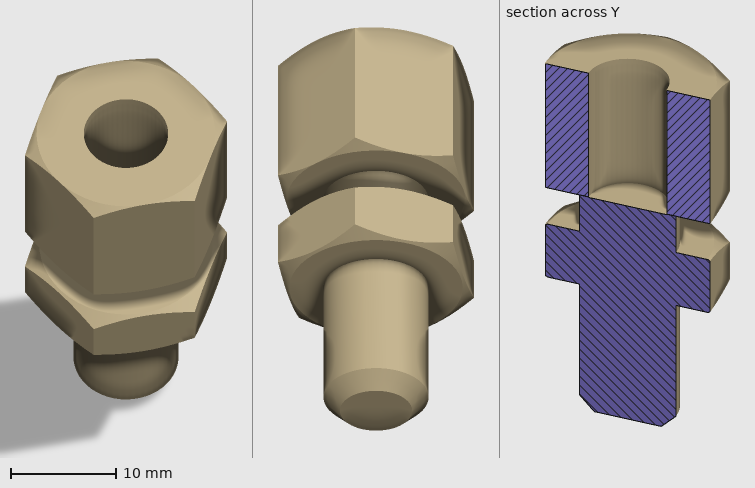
import cadquery as cq
import math

total_height = 38.0
nut_height = 14.0
collar_height = 6.0
shank_length = 14.0
nut_bottom = total_height - nut_height

across_flats = 17.0
across_corners = across_flats / math.cos(math.radians(30))
corner_bevel_angle = 30.0
nut_face_diameter = across_flats
collar_face_diameter = 16.5

stem_diameter = 10.0
bore_diameter = 8.0
tip_chamfer = 1.55


def bevel_envelope(bottom, height, face_diameter):
    """Round blank with conical ends that trims the corners of a hexagon."""
    face_radius = face_diameter / 2
    corner_radius = across_corners / 2
    drop = (corner_radius - face_radius) * math.tan(math.radians(corner_bevel_angle))
    top = bottom + height
    return (
        cq.Workplane("XZ")
        .moveTo(0, bottom)
        .lineTo(face_radius, bottom)
        .lineTo(corner_radius, bottom + drop)
        .lineTo(corner_radius, top - drop)
        .lineTo(face_radius, top)
        .lineTo(0, top)
        .close()
        .revolve(360, (0, 0, 0), (0, 1, 0))
    )


def bevelled_hexagon(bottom, height, face_diameter):
    """Hexagonal prism with its corners bevelled at both ends."""
    prism = (
        cq.Workplane("XY", origin=(0, 0, bottom))
        .transformed(rotate=(0, 0, 90))
        .polygon(6, across_corners)
        .extrude(height)
    )
    return prism.intersect(bevel_envelope(bottom, height, face_diameter))


def make_nut():
    """Compression nut, bored right through."""
    nut = bevelled_hexagon(nut_bottom, nut_height, nut_face_diameter)
    bore = (
        cq.Workplane("XY", origin=(0, 0, nut_bottom))
        .circle(bore_diameter / 2)
        .extrude(nut_height)
    )
    return nut.cut(bore)


def make_fitting_body():
    """Solid stem with a hexagonal collar; its top closes the nut's bore."""
    stem = (
        cq.Workplane("XY")
        .circle(stem_diameter / 2)
        .extrude(nut_bottom)
        .faces("<Z")
        .chamfer(tip_chamfer)
    )
    collar = bevelled_hexagon(shank_length, collar_height, collar_face_diameter)
    return stem.union(collar)


nut = make_nut()
fitting_body = make_fitting_body()

result = cq.Compound.makeCompound([nut.solids().val(), fitting_body.solids().val()])